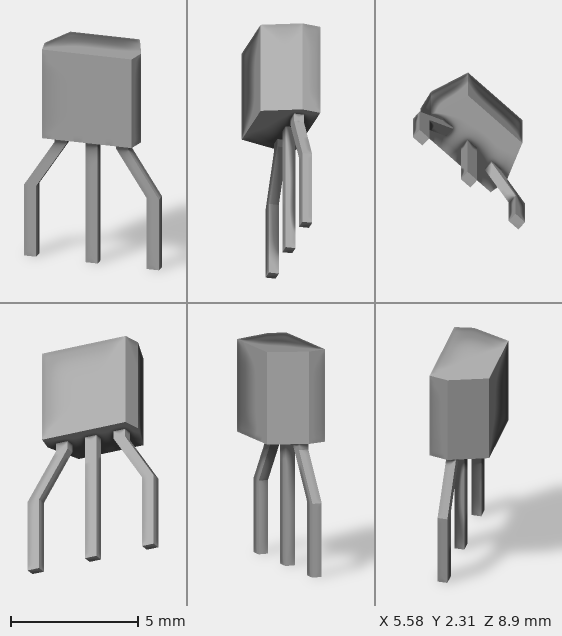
import cadquery as cq

total_height = 8.9
body_height = 3.7
body_depth = 2.31

front_width = 3.7
widest_width = 4.0
back_width = 2.875
widest_from_front = 0.765

lead_span = 5.58
lead_width = 0.51
lead_thickness = 0.4
lead_front_from_body_front = 0.58
root_pitch = 1.27
upper_bend_drop = 0.32
lower_bend_height = 2.955

body_bottom = total_height - body_height
tip_pitch = (lead_span - lead_width) / 2


def make_body():
    """Six-sided prism standing above the leads."""
    return (
        cq.Workplane("XY")
        .workplane(offset=body_bottom)
        .moveTo(-front_width / 2, 0)
        .lineTo(front_width / 2, 0)
        .lineTo(widest_width / 2, widest_from_front)
        .lineTo(back_width / 2, body_depth)
        .lineTo(-back_width / 2, body_depth)
        .lineTo(-widest_width / 2, widest_from_front)
        .close()
        .extrude(body_height)
    )


def make_lead(root_x, tip_x):
    """Flat lead running from the body down to its tip, with a sloped middle."""
    centre_line = [
        (root_x, body_bottom),
        (root_x, body_bottom - upper_bend_drop),
        (tip_x, lower_bend_height),
        (tip_x, 0),
    ]
    left_edge = [(x - lead_width / 2, z) for x, z in centre_line]
    right_edge = [(x + lead_width / 2, z) for x, z in centre_line]
    return (
        cq.Workplane("XZ", origin=(0, lead_front_from_body_front, 0))
        .polyline(left_edge + right_edge[::-1])
        .close()
        .extrude(-lead_thickness)
    )


result = make_body()
for side in (-1, 0, 1):
    result = result.union(make_lead(side * root_pitch, side * tip_pitch))
result = result.clean()